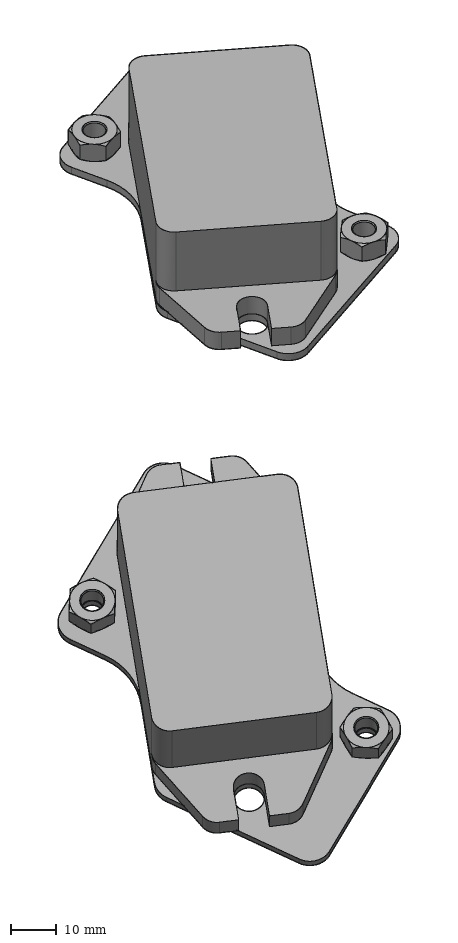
import cadquery as cq
import math

plate_thickness = 2.0
flange_thickness = 5.0
box_height = 17.0
nut_height = flange_thickness

cover_angle = 126.0
cover_center_x = 3.75
cover_center_y = -5.0
box_length = 60.0
box_width = 40.0
flange_length = 90.0
flange_end_width = 20.0
flange_taper = 30.0
cover_corner_radius = 4.0
slot_width = 6.8
slot_pitch = 74.35

plate_half_width = 40.0
left_lobe_top = 33.5
left_lobe_bottom = -8.5
right_lobe_top = 8.5
right_lobe_bottom = -40.6
plate_corner_radius = 5.0
plate_inner_radius = 15.0

nut_spacing = 68.0
nut_across_flats = 10.0
nut_bore = 5.0
bore_chamfer = 0.25
nut_edge_angle = 30.0
left_turn = 25.5
right_turn = -5.0
nut_turns = {-1: left_turn, 1: right_turn}

axis_x = math.cos(math.radians(cover_angle))
axis_y = math.sin(math.radians(cover_angle))
cover_center = (cover_center_x, cover_center_y)


def cover_plane(height):
    """Plane at the given height, centred on the cover, its X along the cover's long axis."""
    return cq.Plane(origin=(*cover_center, height), xDir=(axis_x, axis_y, 0), normal=(0, 0, 1))


def nut_position(side):
    return (side * nut_spacing / 2, 0)


def band_edge_x(side, y):
    """X on the left (-1) or right (+1) long edge of the plate's band at a given Y."""
    return cover_center_x + (side * box_width / 2 + (y - cover_center_y) * axis_x) / axis_y


def make_plate():
    outline = [
        (-plate_half_width, left_lobe_top),
        (band_edge_x(1, left_lobe_top), left_lobe_top),
        (band_edge_x(1, right_lobe_top), right_lobe_top),
        (plate_half_width, right_lobe_top),
        (plate_half_width, right_lobe_bottom),
        (band_edge_x(-1, right_lobe_bottom), right_lobe_bottom),
        (band_edge_x(-1, left_lobe_bottom), left_lobe_bottom),
        (-plate_half_width, left_lobe_bottom),
    ]
    inner_corners = [outline[2], outline[6]]
    outer_corners = [point for point in outline if point not in inner_corners]

    plate = cq.Workplane("XY").polyline(outline).close().extrude(plate_thickness)
    for corners, radius in [(outer_corners, plate_corner_radius), (inner_corners, plate_inner_radius)]:
        for x, y in corners:
            corner_edge = cq.selectors.NearestToPointSelector((x, y, plate_thickness / 2))
            plate = plate.edges("|Z").edges(corner_edge).fillet(radius)

    screw_holes = (
        cq.Workplane("XY")
        .pushPoints([nut_position(side) for side in nut_turns])
        .circle(nut_bore / 2)
        .extrude(plate_thickness)
    )
    mounting_holes = (
        cq.Workplane(cover_plane(0))
        .pushPoints([(-slot_pitch / 2, 0), (slot_pitch / 2, 0)])
        .circle(slot_width / 2)
        .extrude(plate_thickness)
    )
    return plate.cut(screw_holes).cut(mounting_holes)


def make_flange():
    half_width = box_width / 2
    half_end_width = flange_end_width / 2
    half_length = flange_length / 2
    taper_length = (half_width - half_end_width) / math.tan(math.radians(flange_taper))
    taper_start = half_length - taper_length

    quarter = [(taper_start, half_width), (half_length, half_end_width)]
    front_end = quarter + [(x, -y) for x, y in reversed(quarter)]
    outline = front_end + [(-x, -y) for x, y in front_end]
    flange = cq.Workplane(cover_plane(plate_thickness)).polyline(outline).close().extrude(flange_thickness)
    return flange.edges("|Z").fillet(cover_corner_radius)


def make_slot(end):
    """Open slot at one end (+1 or -1) of the flange, rounded on the inside."""
    slot_center = end * slot_pitch / 2
    round_end = (
        cq.Workplane(cover_plane(plate_thickness))
        .center(slot_center, 0)
        .circle(slot_width / 2)
        .extrude(flange_thickness)
    )
    opening_length = (flange_length - slot_pitch) / 2
    opening = (
        cq.Workplane(cover_plane(plate_thickness))
        .center(slot_center + end * opening_length / 2, 0)
        .rect(opening_length, slot_width)
        .extrude(flange_thickness)
    )
    return round_end.union(opening)


def make_cover():
    box = (
        cq.Workplane(cover_plane(plate_thickness))
        .rect(box_length, box_width)
        .extrude(flange_thickness + box_height)
        .edges("|Z")
        .fillet(cover_corner_radius)
    )
    cover = make_flange().union(box)
    for end in (-1, 1):
        cover = cover.cut(make_slot(end))
    return cover


def make_nut(side):
    corner_radius = nut_across_flats / math.sqrt(3)
    flat_radius = nut_across_flats / 2
    edge_drop = (corner_radius - flat_radius) * math.tan(math.radians(nut_edge_angle))

    hexagon = cq.Workplane("XY").polygon(6, 2 * corner_radius).extrude(nut_height)
    blank_profile = [
        (0, 0),
        (flat_radius, 0),
        (corner_radius, edge_drop),
        (corner_radius, nut_height - edge_drop),
        (flat_radius, nut_height),
        (0, nut_height),
    ]
    blank = cq.Workplane("XZ").polyline(blank_profile).close().revolve(360, (0, 0, 0), (0, 1, 0))
    bore = cq.Workplane("XY").circle(nut_bore / 2).extrude(nut_height)
    nut = hexagon.intersect(blank).cut(bore)
    bore_edges = cq.selectors.RadiusNthSelector(0)
    nut = nut.faces("<Z or >Z").edges(bore_edges).chamfer(bore_chamfer)
    turned_nut = nut.rotate((0, 0, 0), (0, 0, 1), nut_turns[side])
    return turned_nut.translate((*nut_position(side), plate_thickness))


plate = make_plate()
cover = make_cover()
nuts = [make_nut(side) for side in nut_turns]

result = cq.Compound.makeCompound([plate.val(), cover.val(), *[nut.val() for nut in nuts]])